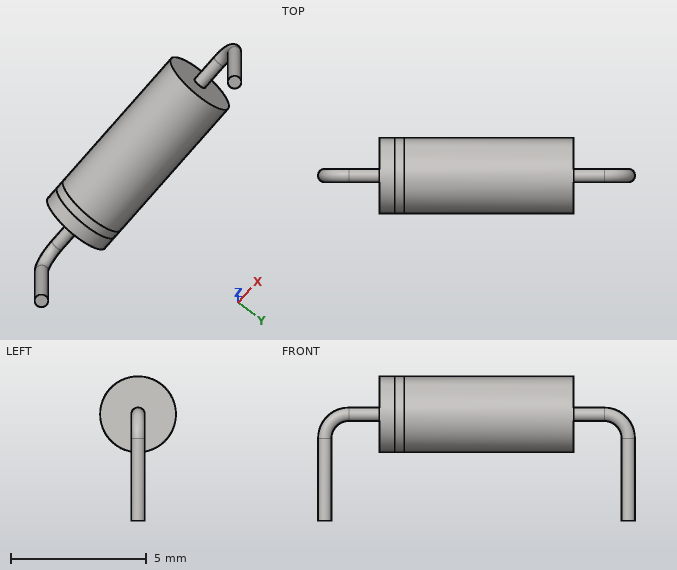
import cadquery as cq

overall_length = 11.68
overall_height = 5.33

body_length = 7.15
body_diameter = 2.8

groove_diameter = 2.79
band_width = 0.35
band_offset = 0.56

wire_diameter = 0.5
bend_radius = 0.89

body_end = body_length / 2
lead_x = (overall_length - wire_diameter) / 2
bend_start_x = lead_x - bend_radius
lead_bottom = body_diameter / 2 - overall_height


def cylinder_along_x(start_x, length, diameter):
    return cq.Workplane("YZ", origin=(start_x, 0, 0)).circle(diameter / 2).extrude(length)


def make_body():
    return cylinder_along_x(-body_end, body_length, body_diameter).cut(make_band())


def make_band():
    start_x = -body_end + band_offset
    outside = cylinder_along_x(start_x, band_width, body_diameter)
    return outside.cut(cylinder_along_x(start_x, band_width, groove_diameter))


def make_lead(side):
    """Wire from one body end face, bent down; side is -1 for -X and +1 for +X."""
    path = (
        cq.Workplane("XZ")
        .moveTo(side * body_end, 0)
        .lineTo(side * bend_start_x, 0)
        .tangentArcPoint((side * lead_x, -bend_radius), relative=False)
        .lineTo(side * lead_x, lead_bottom)
    )
    wire_start = cq.Workplane("YZ", origin=(side * body_end, 0, 0))
    return wire_start.circle(wire_diameter / 2).sweep(path)


body = make_body()
band = make_band()
leads = [make_lead(side) for side in (-1, 1)]

result = cq.Compound.makeCompound([body.val(), band.val(), *[lead.val() for lead in leads]])